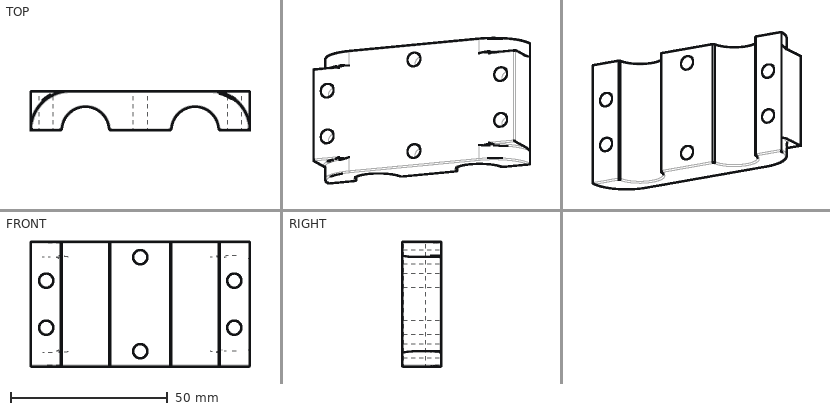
import cadquery as cq

length = 70.0
height = 40.0
thickness = 12.5
edge_break = 0.5

block_height = 30.0

channel_radius = 7.5
channel_offset = length / 4

hole_diameter = 4.5
side_hole_x = 30.0
side_hole_z = block_height / 4
center_hole_z = block_height / 2

front = -thickness / 2
back = thickness / 2
corner_x = length / 2 - thickness
mid_arc = 0.5 ** 0.5


def rounded_outline():
    """Full-height body whose two back corners are quarter circles as deep as the body."""
    reach = thickness * mid_arc
    return (
        cq.Workplane("XY")
        .workplane(offset=-height / 2)
        .moveTo(-length / 2, front)
        .lineTo(length / 2, front)
        .threePointArc((corner_x + reach, front + reach), (corner_x, back))
        .lineTo(-corner_x, back)
        .threePointArc((-corner_x - reach, front + reach), (-length / 2, front))
        .close()
        .extrude(height)
    )


def channel(x):
    return (
        cq.Workplane("XY")
        .workplane(offset=-height / 2)
        .center(x, front)
        .circle(channel_radius)
        .extrude(height)
    )


def rounded_body():
    """Rounded body with its channels, chamfered channel lips and filleted end-face edges."""
    body = rounded_outline()
    for x in (-channel_offset, channel_offset):
        body = body.cut(channel(x))
    lip_zone = cq.selectors.BoxSelector(
        (-length / 2 + edge_break, front - edge_break, -edge_break),
        (length / 2 - edge_break, front + edge_break, edge_break),
    )
    body = body.edges("|Z").edges(lip_zone).chamfer(edge_break)
    return body.faces("|Z").edges().fillet(edge_break)


def block():
    """Middle block with softened back edges."""
    return (
        cq.Workplane("XY")
        .box(length, thickness, block_height)
        .faces(">Y")
        .edges()
        .fillet(edge_break)
    )


def foot_ring(x):
    """Concave fillet around one quarter-round corner where it meets the upper ledge."""
    ledge = block_height / 2
    inner = thickness - edge_break
    outer = thickness + edge_break
    sag = edge_break * (1 - mid_arc)
    return (
        cq.Workplane("XZ")
        .moveTo(inner, ledge - edge_break)
        .lineTo(outer, ledge - edge_break)
        .lineTo(outer, ledge)
        .threePointArc((thickness + sag, ledge + sag), (thickness, ledge + edge_break))
        .lineTo(inner, ledge + edge_break)
        .close()
        .revolve(360, (0, 0), (0, 1))
        .translate((x, front, 0))
    )


def hole(x, z):
    return (
        cq.Workplane("XZ")
        .center(x, z)
        .circle(hole_diameter / 2)
        .extrude(thickness, both=True)
    )


def left_foot_fillets():
    """Upper and lower foot fillets of the -X end, trimmed to the block's sides and back edge."""
    end_zone = cq.Workplane("XY").box(thickness, thickness, height)
    end_zone = end_zone.translate((-corner_x - thickness / 2, 0, 0))
    raised_block = block().translate((0, 0, edge_break))
    upper = foot_ring(-corner_x).intersect(end_zone).intersect(raised_block)
    return upper.union(upper.mirror("XY"))


block_corners = block().cut(rounded_outline())
foot_fillets = left_foot_fillets()
result = rounded_body().union(block_corners)
result = result.union(foot_fillets).union(foot_fillets.mirror("YZ"))
for side in (-1, 1):
    for z in (-side_hole_z, side_hole_z):
        result = result.cut(hole(side * side_hole_x, z))
    result = result.cut(hole(0, side * center_hole_z))